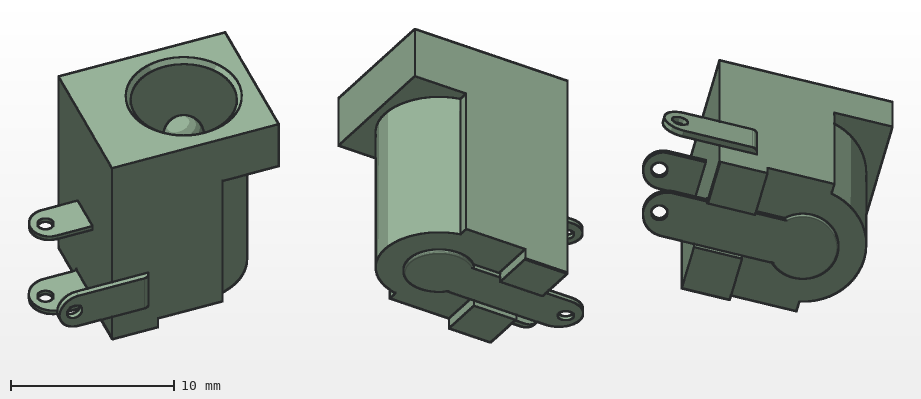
import cadquery as cq


half_width = 4.5
height = 14.2
front_y = -6.5
head_back_y = half_width
head_height = 3.49
core_back_y = 0.8
barrel_radius = 3.9
foot_height = 0.73
foot_depth = 3.05
foot_gap_width = 3.1
foot_edge_chamfer = 0.06

bore_radius = 3.25
bore_depth = 9.49
bore_chamfer = 0.3
pin_radius = 1.25
pin_tip_depth = 2.0

tab_length = 3.6
tab_end_y = front_y - tab_length
tab_thickness = 0.3
tab_hole_radius = 0.5
tab_hole_inset = 1.0
tab_hole_y = tab_end_y + tab_hole_inset
tab_width = 2.5
tab_root_depth = 0.73
upper_tab_z = 6.35
lower_tab_width = 3.01
lower_tab_z = 0.35
disc_radius = 2.19
disc_edge_fillet = 0.1
side_tab_thickness = 0.41
side_tab_z = 2.26
side_tab_root_length = 2.38
side_tab_bend_radius = 0.4

head_z = height - head_height
bore_floor_z = height - bore_depth


def block(x_range, y_range, z_range):
    """Box spanning the given ranges."""
    (x0, x1), (y0, y1), (z0, z1) = x_range, y_range, z_range
    return cq.Workplane("XY").box(x1 - x0, y1 - y0, z1 - z0, centered=False).translate((x0, y0, z0))


def cylinder(radius, z0, z1):
    """Cylinder on the pin axis."""
    return cq.Workplane("XY").workplane(offset=z0).circle(radius).extrude(z1 - z0)


def make_foot(x0, x1, chamfered_edge):
    """Foot under the front of the housing, with one bottom edge broken."""
    foot = block((x0, x1), (front_y, front_y + foot_depth), (0, foot_height))
    return foot.faces("<Z").edges(chamfered_edge).chamfer(foot_edge_chamfer)


def make_housing():
    """Head, core, round barrel and two feet, bored for the plug."""
    full_width = (-half_width, half_width)
    head = block(full_width, (front_y, head_back_y), (head_z, height))
    core = block(full_width, (front_y, core_back_y), (foot_height, head_z))
    barrel = cylinder(barrel_radius, foot_height, head_z)
    housing = head.union(core).union(barrel)
    housing = housing.union(make_foot(-half_width, -foot_gap_width / 2, "<X"))
    housing = housing.union(make_foot(foot_gap_width / 2, half_width, "<Y"))
    bore = cylinder(bore_radius, bore_floor_z, height)
    housing = housing.cut(bore)
    return housing.faces(">Z").edges("%CIRCLE").chamfer(bore_chamfer)


def make_pin():
    """Contact pin with a hemispherical tip; its tail is riveted into the lower terminal."""
    tip_center_z = height - pin_tip_depth - pin_radius
    tip = cq.Workplane("XY").sphere(pin_radius).translate((0, 0, tip_center_z))
    return cylinder(pin_radius, lower_tab_z, tip_center_z).union(tip)


def tab_blank(width, thickness, root_y):
    """Flat strip from root_y to a half-round, pierced end, lying on Z = 0."""
    arc_y = tab_end_y + width / 2
    return (
        cq.Workplane("XY")
        .moveTo(-width / 2, root_y)
        .lineTo(-width / 2, arc_y)
        .threePointArc((0, tab_end_y), (width / 2, arc_y))
        .lineTo(width / 2, root_y)
        .close()
        .extrude(thickness)
        .cut(cq.Workplane("XY").center(0, tab_hole_y).circle(tab_hole_radius).extrude(thickness))
    )


def make_upper_tab():
    """Horizontal terminal set into the front wall."""
    tab = tab_blank(tab_width, tab_thickness, front_y + tab_root_depth)
    return tab.translate((0, 0, upper_tab_z))


def make_lower_tab():
    """Terminal under the housing, ending in a disc with rounded edges around the pin."""
    disc = cylinder(disc_radius, 0, tab_thickness).edges().fillet(disc_edge_fillet)
    tab = tab_blank(lower_tab_width, tab_thickness, 0).union(disc)
    return tab.translate((0, 0, lower_tab_z))


def make_side_tab():
    """Upright terminal on the +X wall, with the bend rounded where it leaves the wall."""
    root_y = front_y + side_tab_root_length
    outer_x = half_width + side_tab_thickness
    center_z = side_tab_z + tab_width / 2
    tab = tab_blank(tab_width, side_tab_thickness, root_y).rotate((0, 0, 0), (0, 1, 0), 90)
    tab = tab.translate((half_width, 0, center_z))
    bend_edge = cq.selectors.NearestToPointSelector((outer_x, root_y, center_z))
    return tab.edges(bend_edge).fillet(side_tab_bend_radius)


result = (
    make_housing()
    .union(make_pin())
    .union(make_upper_tab())
    .union(make_lower_tab())
    .union(make_side_tab())
)